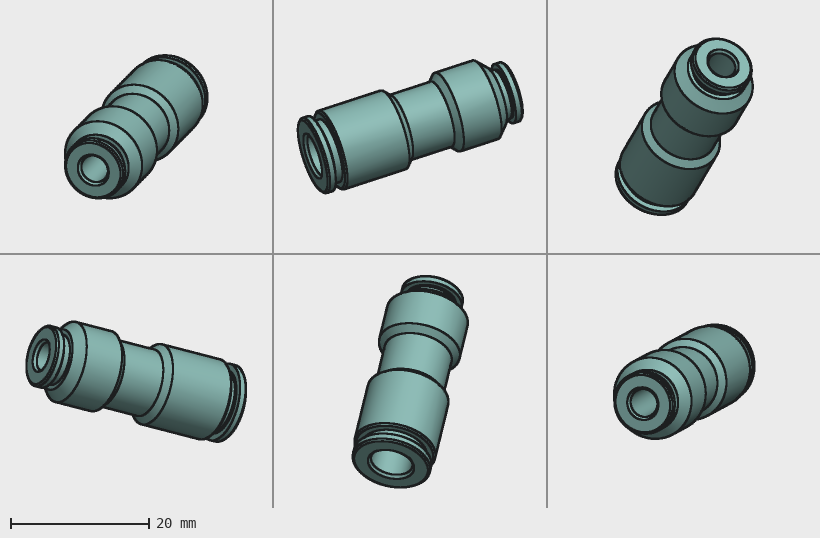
import cadquery as cq
import math

length = 31.3

barrel_radius = 5.995
waist_radius = 4.98
body_front = 2.6
front_bevel = 1.5
front_barrel_end = 10.05
rear_barrel_start = 18.63
shoulder = barrel_radius - waist_radius
body_rear = 28.68
rear_bevel = 0.28

flange_thickness = 1.2
flange_bevel = 0.28
groove_width = 0.35
groove_depth = 0.25
groove_flange_depth = 0.1
front_neck_radius = 3.75
front_flange_radius = 4.5
rear_neck_radius = 4.8
rear_flange_radius = 5.73

through_radius = 1.5
front_socket_radius = 2.07
rear_socket_radius = 3.07
socket_depth = 14.1
seat_angle = 60.0
mouth_bevel_width = 0.35
mouth_bevel_depth = 0.5


def sleeve_profile(neck_radius, flange_radius):
    """Outline points as (radius, distance from the sleeve's outer face), outer face first."""
    groove_end = flange_thickness + groove_width
    groove_middle = flange_thickness + groove_width / 2
    return [
        (flange_radius - flange_bevel, 0),
        (flange_radius, flange_bevel),
        (flange_radius, flange_thickness),
        (neck_radius - groove_flange_depth, flange_thickness),
        (neck_radius - groove_depth, groove_middle),
        (neck_radius, groove_end),
    ]


def socket_profile(socket_radius):
    """Outline points as (radius, distance from the end face), from the through hole outwards."""
    seat_length = (socket_radius - through_radius) / math.tan(math.radians(seat_angle))
    return [
        (through_radius, socket_depth + seat_length),
        (socket_radius, socket_depth),
        (socket_radius, mouth_bevel_depth),
        (socket_radius + mouth_bevel_width, 0),
    ]


def at_rear(points):
    """Turn points measured from the front face into the same points measured from the rear face."""
    return [(radius, length - distance) for radius, distance in reversed(points)]


front_sleeve = sleeve_profile(front_neck_radius, front_flange_radius)
rear_sleeve = at_rear(sleeve_profile(rear_neck_radius, rear_flange_radius))
front_socket = socket_profile(front_socket_radius)
rear_socket = at_rear(socket_profile(rear_socket_radius))

body = [
    (front_neck_radius, body_front),
    (barrel_radius - front_bevel, body_front),
    (barrel_radius, body_front + front_bevel),
    (barrel_radius, front_barrel_end),
    (waist_radius, front_barrel_end + shoulder),
    (waist_radius, rear_barrel_start - shoulder),
    (barrel_radius, rear_barrel_start),
    (barrel_radius, body_rear - rear_bevel),
    (barrel_radius - rear_bevel, body_rear),
    (rear_neck_radius, body_rear),
]

profile = front_sleeve + body + rear_sleeve + rear_socket + front_socket
result = cq.Workplane("XY").polyline(profile).close().revolve(360, (0, 0, 0), (0, 1, 0))